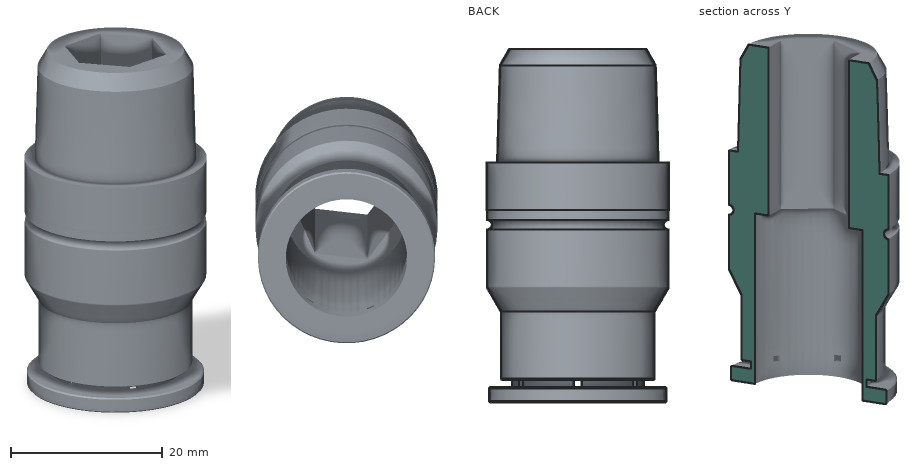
import cadquery as cq

collar_diameter = 23.4
collar_height = 2.05
collar_edge_chamfer = 0.2
neck_diameter = 17.4
slot_count = 6
slot_width = 1.05

sleeve_diameter = 20.3
sleeve_bottom = 3.0
sleeve_edge_chamfer = 0.2
cone_bottom = 12.05
band_diameter = 24.0
band_bottom = 15.22
band_edge_fillet = 0.37
groove_center_height = 23.5
groove_radius = 0.65
shoulder_diameter = 24.1
shoulder_bottom = 25.45
shoulder_top = 31.7

total_height = 46.7
spigot_base_diameter = 21.35
spigot_top_diameter = 20.6
tip_diameter = 18.05
tip_chamfer_height = 2.2

tube_bore_diameter = 16.0
tube_bore_depth = groove_center_height
hex_across_flats = 12.0


def ring_edge(diameter, height):
    """Select the circular edge around the axis at one height."""
    reach = diameter
    margin = 0.005
    return cq.selectors.BoxSelector(
        (-reach, -reach, height - margin),
        (reach, reach, height + margin),
        boundingbox=True,
    )


def make_collar():
    return (
        cq.Workplane("XY")
        .circle(collar_diameter / 2)
        .extrude(collar_height)
        .edges()
        .chamfer(collar_edge_chamfer)
    )


def make_neck():
    neck = (
        cq.Workplane("XY")
        .workplane(offset=collar_height)
        .circle(neck_diameter / 2)
        .extrude(sleeve_bottom - collar_height)
    )
    slot_height = sleeve_bottom - collar_height
    for index in range(slot_count // 2):
        bar = (
            cq.Workplane("XY")
            .workplane(offset=collar_height)
            .rect(slot_width, collar_diameter)
            .extrude(slot_height)
            .rotate((0, 0, 0), (0, 0, 1), index * 360 / slot_count)
        )
        neck = neck.cut(bar)
    return neck


def make_body():
    band_radius = band_diameter / 2
    body = (
        cq.Workplane("XZ")
        .moveTo(0, sleeve_bottom)
        .lineTo(sleeve_diameter / 2, sleeve_bottom)
        .lineTo(sleeve_diameter / 2, cone_bottom)
        .lineTo(band_radius, band_bottom)
        .lineTo(band_radius, groove_center_height - groove_radius)
        .threePointArc(
            (band_radius - groove_radius, groove_center_height),
            (band_radius, groove_center_height + groove_radius),
        )
        .lineTo(band_radius, shoulder_bottom)
        .lineTo(shoulder_diameter / 2, shoulder_bottom)
        .lineTo(shoulder_diameter / 2, shoulder_top)
        .lineTo(spigot_base_diameter / 2, shoulder_top)
        .lineTo(spigot_top_diameter / 2, total_height - tip_chamfer_height)
        .lineTo(tip_diameter / 2, total_height)
        .lineTo(0, total_height)
        .close()
        .revolve(360, (0, 0, 0), (0, 1, 0))
    )
    body = body.edges(ring_edge(band_diameter, band_bottom)).fillet(band_edge_fillet)
    return body.edges(ring_edge(sleeve_diameter, sleeve_bottom)).chamfer(sleeve_edge_chamfer)


def make_openings():
    tube_bore = cq.Workplane("XY").circle(tube_bore_diameter / 2).extrude(tube_bore_depth)
    hex_socket = (
        cq.Workplane("XY")
        .polygon(6, hex_across_flats, circumscribed=True)
        .extrude(total_height)
    )
    return tube_bore.union(hex_socket)


result = make_collar().union(make_neck()).union(make_body()).cut(make_openings())